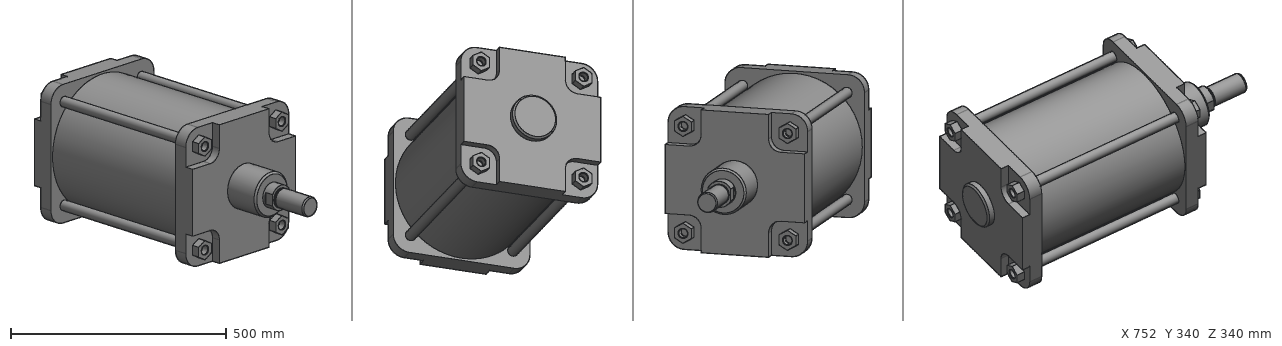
import cadquery as cq


overall_length = 752.0

tie_rod_offset = 127.0
tie_rod_radius = 13.0
nut_height = 20.0
nut_across_flats = 41.0
nut_bore_radius = 10.5
nut_bore_chamfer = 1.5

cap_side = 340.0
cap_corner_radius = 40.0
cap_flange_thickness = 34.0
rear_pocket_depth = nut_height
front_pocket_depth = 22.5
pocket_side = 88.0
pocket_radius = 30.0

boss_radius = 55.0
boss_chamfer = 4.5
rear_boss_length = 18.0
front_boss_length = 91.0

barrel_radius = 165.0
barrel_length = 407.0

collar_radius = 31.0
collar_length = 29.0
wrench_flat_length = 22.5
wrench_flat_spacing = 55.0
shaft_radius = 24.0
shaft_end_chamfer_length = 4.5
shaft_end_chamfer_depth = 2.0
groove_start = 2.0
groove_width = 4.5
groove_depth = 1.0

rear_face_x = rear_boss_length
rear_floor_x = rear_face_x + rear_pocket_depth
barrel_start_x = rear_floor_x + cap_flange_thickness
barrel_end_x = barrel_start_x + barrel_length
front_floor_x = barrel_end_x + cap_flange_thickness
front_face_x = front_floor_x + front_pocket_depth
front_boss_end_x = front_face_x + front_boss_length
collar_end_x = front_boss_end_x + collar_length

corners = [
    (y_sign * tie_rod_offset, z_sign * tie_rod_offset)
    for y_sign in (-1, 1)
    for z_sign in (-1, 1)
]


def section_at(x):
    """Sketch plane across the cylinder axis: local x is Y, local y is Z, extruding toward +X."""
    return cq.Workplane("YZ", origin=(x, 0, 0))


def make_cap(flange_x, pocket_x, pocket_depth):
    """Rounded square cap with four corner pockets and close-fitting tie rod holes."""
    start_x = min(flange_x, pocket_x)
    cap = (
        section_at(start_x)
        .rect(cap_side, cap_side)
        .extrude(cap_flange_thickness + pocket_depth)
        .edges("|X")
        .fillet(cap_corner_radius)
    )
    pockets = (
        section_at(pocket_x)
        .rect(cap_side, cap_side, forConstruction=True)
        .vertices()
        .rect(2 * pocket_side, 2 * pocket_side)
        .extrude(pocket_depth)
        .edges("|X")
        .fillet(pocket_radius)
    )
    rod_holes = (
        section_at(flange_x)
        .pushPoints(corners)
        .circle(tie_rod_radius)
        .extrude(cap_flange_thickness)
    )
    return cap.cut(pockets).cut(rod_holes)


def make_rear_cap():
    boss = (
        section_at(0)
        .circle(boss_radius)
        .extrude(rear_boss_length)
        .faces("<X")
        .chamfer(boss_chamfer)
    )
    return make_cap(rear_floor_x, rear_face_x, rear_pocket_depth).union(boss)


def make_front_cap():
    boss = (
        section_at(front_face_x)
        .circle(boss_radius)
        .extrude(front_boss_length)
        .faces(">X")
        .chamfer(boss_chamfer)
    )
    return make_cap(barrel_end_x, front_floor_x, front_pocket_depth).union(boss)


def make_barrel():
    return section_at(barrel_start_x).circle(barrel_radius).extrude(barrel_length)


def make_nut(start_x, outer_face):
    """Hexagonal nut on the X axis with two corners up and down; its bore is open to the outside."""
    return (
        section_at(start_x)
        .polygon(6, nut_across_flats, circumscribed=True)
        .circle(nut_bore_radius)
        .extrude(nut_height)
        .faces(outer_face)
        .edges("%CIRCLE")
        .chamfer(nut_bore_chamfer)
    )


def make_tie_rod(y, z):
    """Rod between the two pocket floors with a nut on each end, as one solid."""
    rod = section_at(rear_floor_x).circle(tie_rod_radius).extrude(front_floor_x - rear_floor_x)
    rear_nut = make_nut(rear_floor_x - nut_height, "<X")
    front_nut = make_nut(front_floor_x, ">X")
    return rod.union(rear_nut).union(front_nut).translate((0, y, z))


def make_shaft():
    """Plain shaft beyond the collar, turned with a fine V-groove and a chamfered tip."""
    groove_x = collar_end_x + groove_start
    tip_radius = shaft_radius - shaft_end_chamfer_depth
    profile = [
        (collar_end_x, 0),
        (collar_end_x, shaft_radius),
        (groove_x, shaft_radius),
        (groove_x + groove_width / 2, shaft_radius - groove_depth),
        (groove_x + groove_width, shaft_radius),
        (overall_length - shaft_end_chamfer_length, shaft_radius),
        (overall_length, tip_radius),
        (overall_length, 0),
    ]
    return cq.Workplane("XY").polyline(profile).close().revolve(360, (0, 0, 0), (1, 0, 0))


def make_piston_rod():
    """Rod end standing on the front boss: collar with two wrench flats, then the shaft."""
    plain_length = collar_length - wrench_flat_length
    plain_part = section_at(front_boss_end_x).circle(collar_radius).extrude(plain_length)
    flat_slab = cq.Workplane("XY").box(
        wrench_flat_length, wrench_flat_spacing, 2 * collar_radius, centered=(False, True, True)
    )
    flatted_part = (
        section_at(collar_end_x - wrench_flat_length)
        .circle(collar_radius)
        .extrude(wrench_flat_length)
        .intersect(flat_slab.translate((collar_end_x - wrench_flat_length, 0, 0)))
    )
    return plain_part.union(flatted_part).union(make_shaft())


rear_cap = make_rear_cap()
front_cap = make_front_cap()
barrel = make_barrel()
tie_rods = [make_tie_rod(y, z) for y, z in corners]
piston_rod = make_piston_rod()

result = cq.Compound.makeCompound([
    rear_cap.val(),
    front_cap.val(),
    barrel.val(),
    *[tie_rod.val() for tie_rod in tie_rods],
    piston_rod.val(),
])